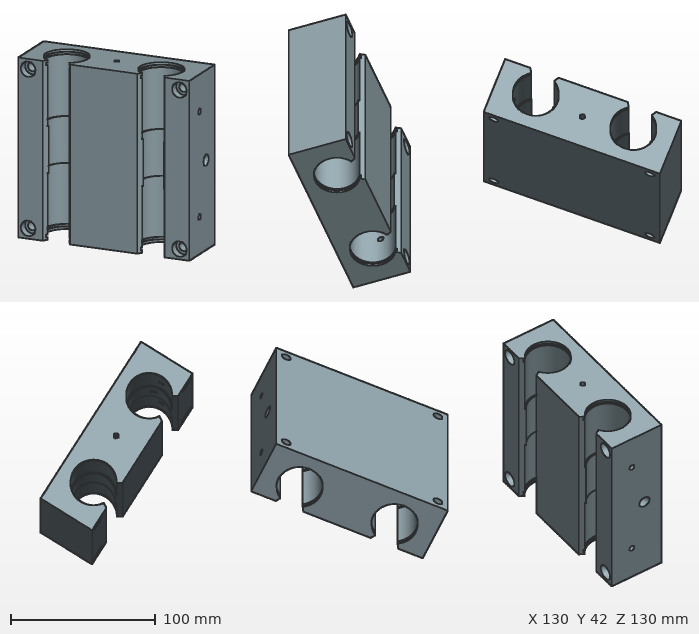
import cadquery as cq
import math

WIDTH = 130.0
DEPTH = 42.0
HEIGHT = 130.0
FRONT_Y = -DEPTH / 2

BORE_PITCH = 71.9
BORE_FRONT_DISTANCE = 17.0
BORE_X = BORE_PITCH / 2
BORE_Y = FRONT_Y + BORE_FRONT_DISTANCE
BORE_DIA = 32.0
LAND_DIA = 30.0
LAND_HEIGHT = 33.8
GROOVE_DIA = 34.0
GROOVE_WIDTH = 1.8
GROOVE_INSET = 2.0
MOUTH_HALF_WIDTH = 10.4

SCREW_INSET = 7.5
SCREW_DIA = 6.6
HEAD_DIA = 11.0
HEAD_DEPTH = 6.9

CROSS_HOLE_DIA = 4.2
CROSS_HOLE_OFFSET = 38.1
MIDDLE_HOLE_DIA = 6.0
MIDDLE_OUTER_DIA = 8.0
MIDDLE_STEP_DEPTH = 3.1
MIDDLE_HOLE_TILT = 20.0

PORT_Y = 0.3
PORT_DIA = 3.6
PORT_DEPTH = 10.4
PORT_TIP_DIA = 1.5
PORT_TAPER = 1.3


def cylinder_z(x, y, bottom, height, diameter):
    return cq.Workplane("XY", origin=(x, y, bottom)).circle(diameter / 2).extrude(height)


def bore_cutter(x):
    """Bore with a narrower central land, two ring grooves and a flared front mouth."""
    side_height = (HEIGHT - LAND_HEIGHT) / 2
    cutter = cylinder_z(x, BORE_Y, -HEIGHT / 2, HEIGHT, LAND_DIA)
    for bottom in (-HEIGHT / 2, LAND_HEIGHT / 2):
        cutter = cutter.union(cylinder_z(x, BORE_Y, bottom, side_height, BORE_DIA))
    lower_groove = -HEIGHT / 2 + GROOVE_INSET
    upper_groove = HEIGHT / 2 - GROOVE_INSET - GROOVE_WIDTH
    for bottom in (lower_groove, upper_groove):
        cutter = cutter.union(cylinder_z(x, BORE_Y, bottom, GROOVE_WIDTH, GROOVE_DIA))
    mouth = (
        cq.Workplane("XY", origin=(x, 0, -HEIGHT / 2))
        .moveTo(0, BORE_Y)
        .lineTo(-MOUTH_HALF_WIDTH, FRONT_Y)
        .lineTo(MOUTH_HALF_WIDTH, FRONT_Y)
        .close()
        .extrude(HEIGHT)
    )
    return cutter.union(mouth)


def cross_hole(z):
    return (
        cq.Workplane("YZ", origin=(BORE_X, BORE_Y, z))
        .circle(CROSS_HOLE_DIA / 2)
        .extrude(WIDTH / 2 - BORE_X)
    )


def middle_hole():
    """Hole radial to the bore, tilted about its axis, widening on its way to the +X side."""
    tilt = math.radians(MIDDLE_HOLE_TILT)
    axis = cq.Vector(math.cos(tilt), math.sin(tilt), 0)
    start = cq.Vector(BORE_X, BORE_Y, 0)
    step = start + axis * (LAND_DIA / 2 + MIDDLE_STEP_DEPTH)
    inner = cq.Solid.makeCylinder(MIDDLE_HOLE_DIA / 2, WIDTH / 2, start, axis)
    outer = cq.Solid.makeCylinder(MIDDLE_OUTER_DIA / 2, WIDTH / 2, step, axis)
    return cq.Workplane(inner).union(cq.Workplane(outer))


result = cq.Workplane("XY").box(WIDTH, DEPTH, HEIGHT)

for bore_x in (-BORE_X, BORE_X):
    result = result.cut(bore_cutter(bore_x))

result = (
    result.faces("<Y")
    .workplane(origin=(0, FRONT_Y, 0))
    .rect(WIDTH - 2 * SCREW_INSET, HEIGHT - 2 * SCREW_INSET, forConstruction=True)
    .vertices()
    .cboreHole(SCREW_DIA, HEAD_DIA, HEAD_DEPTH)
)

for hole_z in (-CROSS_HOLE_OFFSET, CROSS_HOLE_OFFSET):
    result = result.cut(cross_hole(hole_z))
result = result.cut(middle_hole())

port = (
    cylinder_z(0, PORT_Y, HEIGHT / 2 - PORT_DEPTH, PORT_DEPTH, PORT_DIA)
    .faces("<Z")
    .workplane()
    .circle(PORT_DIA / 2)
    .workplane(offset=PORT_TAPER)
    .circle(PORT_TIP_DIA / 2)
    .loft(combine=True)
)
result = result.cut(port)